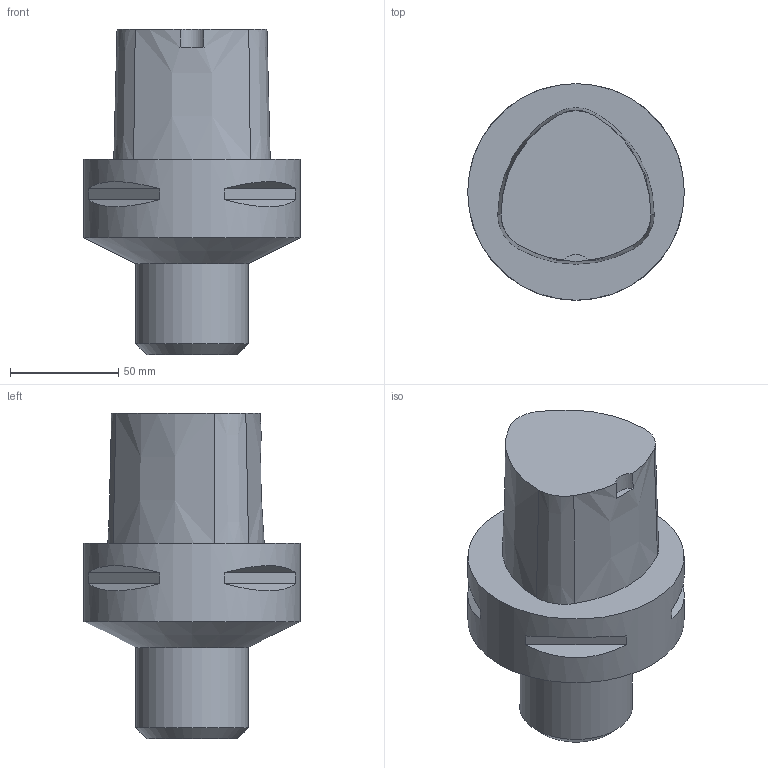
import cadquery as cq
import math

FLANGE_DIAMETER = 100.0
FLANGE_HEIGHT = 36.0
SHANK_HEIGHT = 60.0
CONE_HEIGHT = 12.0
NOSE_DIAMETER = 52.0
NOSE_HEIGHT = 42.0
NOSE_CHAMFER = 5.0

SHANK_WIDTH = 72.2
CORNER_RADIUS = 18.3
SHANK_TAPER = 1.0 / 40.0

GROOVE_COUNT = 4
GROOVE_START_ANGLE = 45.0
GROOVE_DROP = 16.0
GROOVE_FLOOR_DISTANCE = 44.3
GROOVE_FLOOR_WIDTH = 5.0
GROOVE_SIDE_ANGLE = 30.0
GROOVE_CLEARANCE = 1.0

NOTCH_RADIUS = 6.8
NOTCH_HEIGHT = 8.3
NOTCH_BACK_Y = -28.9


def polar(radius, angle, center=(0.0, 0.0)):
    """Point at a distance and an angle in degrees from a center."""
    a = math.radians(angle)
    return (center[0] + radius * math.cos(a), center[1] + radius * math.sin(a))


def make_body():
    """Flange, cone and nose as one revolved profile."""
    flange_radius = FLANGE_DIAMETER / 2
    nose_radius = NOSE_DIAMETER / 2
    cone_bottom = -FLANGE_HEIGHT - CONE_HEIGHT
    nose_bottom = cone_bottom - NOSE_HEIGHT
    profile = (
        cq.Workplane("XZ")
        .moveTo(0, 0)
        .lineTo(flange_radius, 0)
        .lineTo(flange_radius, -FLANGE_HEIGHT)
        .lineTo(nose_radius, cone_bottom)
        .lineTo(nose_radius, nose_bottom + NOSE_CHAMFER)
        .lineTo(nose_radius - NOSE_CHAMFER, nose_bottom)
        .lineTo(0, nose_bottom)
        .close()
    )
    return profile.revolve(360, (0, 0, 0), (0, 1, 0))


def shank_outline(plane, inset):
    """Rounded triangle with a corner on +Y, moved inward by the inset."""
    wide_radius = SHANK_WIDTH - CORNER_RADIUS
    side = wide_radius - CORNER_RADIUS
    center_distance = side / math.sqrt(3)
    corner = CORNER_RADIUS - inset
    wide = wide_radius - inset

    outline = plane.moveTo(*polar(corner, 60, polar(center_distance, 90)))
    for corner_angle in (90, 210, 330):
        corner_center = polar(center_distance, corner_angle)
        opposite_center = polar(center_distance, corner_angle + 240)
        outline = outline.threePointArc(
            polar(corner, corner_angle, corner_center),
            polar(corner, corner_angle + 30, corner_center),
        )
        outline = outline.threePointArc(
            polar(wide, corner_angle + 60, opposite_center),
            polar(wide, corner_angle + 90, opposite_center),
        )
    return outline.close()


def make_shank():
    """Tapered shank as a ruled loft between its base and top outlines."""
    base = shank_outline(cq.Workplane("XY"), 0.0)
    top_plane = base.workplane(offset=SHANK_HEIGHT, origin=(0, 0, 0))
    return shank_outline(top_plane, SHANK_HEIGHT * SHANK_TAPER).loft(ruled=True)


def make_groove(angle):
    """Trapezoidal cutter that opens outward, turned about Z."""
    outer = FLANGE_DIAMETER / 2 + GROOVE_CLEARANCE
    flare = (outer - GROOVE_FLOOR_DISTANCE) * math.tan(math.radians(GROOVE_SIDE_ANGLE))
    floor_half = GROOVE_FLOOR_WIDTH / 2
    mid_z = -GROOVE_DROP
    section = [
        (GROOVE_FLOOR_DISTANCE, mid_z - floor_half),
        (outer, mid_z - floor_half - flare),
        (outer, mid_z + floor_half + flare),
        (GROOVE_FLOOR_DISTANCE, mid_z + floor_half),
    ]
    cutter = cq.Workplane("XZ").polyline(section).close().extrude(FLANGE_DIAMETER / 2, both=True)
    return cutter.rotate((0, 0, 0), (0, 0, 1), angle)


def make_notch():
    """Vertical cylinder that cuts the round-backed notch."""
    return (
        cq.Workplane("XY", origin=(0, 0, SHANK_HEIGHT - NOTCH_HEIGHT))
        .center(0, NOTCH_BACK_Y - NOTCH_RADIUS)
        .circle(NOTCH_RADIUS)
        .extrude(NOTCH_HEIGHT)
    )


result = make_body().union(make_shank())
for index in range(GROOVE_COUNT):
    result = result.cut(make_groove(GROOVE_START_ANGLE + index * 360.0 / GROOVE_COUNT))
result = result.cut(make_notch())